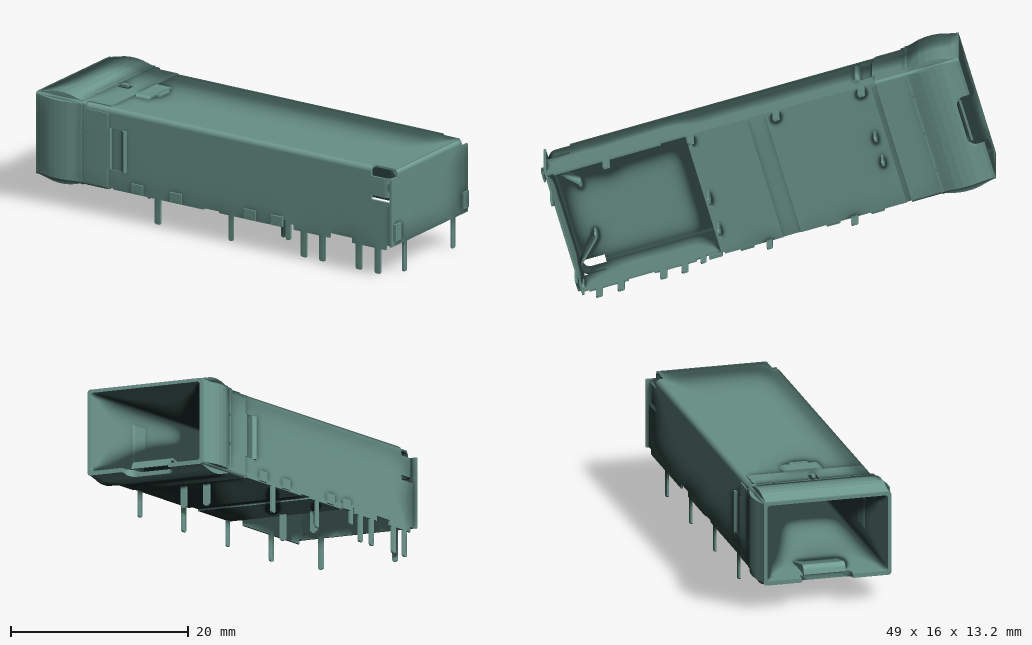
import cadquery as cq
import math

total_length = 49
total_height = 13.25
sheet = 0.25

half_width = 7.3
shell_bottom = 3.0
shell_top = 12.55
corner_radius = 0.6
inner_radius = corner_radius - sheet
floor_thickness = 0.35
floor_top = shell_bottom + floor_thickness
rear_opening_start = 32.1

rear_inner = 48.35
rear_outer = rear_inner + sheet
rear_plate_bottom = 3.6
ear_top = 11.65
ear_half_width = 7.65
top_half_width = 6.4
rear_slot_start = 45.6

sleeve_thickness = 0.15
sleeve_length = 9.8
sleeve_half_width = half_width + sleeve_thickness
sleeve_top = shell_top + sleeve_thickness
corner_gap_start = 6.75
corner_gap_depth = 0.6
spring_rise = total_height - shell_top
spring_crown_x = 3.3
spring_half_length = 3.0
spring_bends = [0.3, 1.05, 2.05, 2.85, 3.7, 4.6, 5.65, 6.25]
spring_half_width = 7.2
spring_half_height = 4.65
band_start = 6.0
band_end = 6.25
band_rise = 0.25
band_gap = 0.3
top_band_gaps = [-4.55, 0, 4.55]
side_band_gaps = [-1.65, 1.65]

mid_height = (shell_top + shell_bottom) / 2


def block(x0, x1, y0, y1, z0, z1):
    """Box between two opposite corners."""
    return cq.Workplane("XY").box(x1 - x0, y1 - y0, z1 - z0, centered=False).translate((x0, y0, z0))


def both_sides(solid):
    """The solid together with its mirror image across the middle plane Y = 0."""
    return solid.union(solid.mirror("XZ"))


def make_shell():
    outer = block(0, rear_inner, -half_width, half_width, shell_bottom, shell_top)
    outer = outer.edges("|X and >Z").fillet(corner_radius)
    inner_half = half_width - sheet
    bore = block(0, rear_inner, -inner_half, inner_half, floor_top, shell_top - sheet)
    bore = bore.edges("|X").fillet(inner_radius)
    opening = block(rear_opening_start, rear_inner, -inner_half, inner_half, shell_bottom, mid_height)
    return outer.cut(bore).cut(opening)


def make_rear_plate():
    plate = block(rear_inner, rear_outer, -half_width, half_width, rear_plate_bottom, ear_top)
    ears = block(rear_inner, rear_outer, -ear_half_width, ear_half_width, rear_plate_bottom, ear_top)
    bend = block(rear_inner - corner_radius, rear_outer, -top_half_width, top_half_width,
                 ear_top - sheet, shell_top)
    bend = bend.edges(">X and >Z").fillet(corner_radius)
    hollow = block(rear_inner - corner_radius, rear_inner, -top_half_width, top_half_width,
                   ear_top - sheet, shell_top - sheet)
    hollow = hollow.edges(">X and >Z").fillet(inner_radius)
    return plate.union(ears).union(bend.cut(hollow))


def make_sleeve():
    sleeve = block(0, sleeve_length, -sleeve_half_width, sleeve_half_width,
                   shell_bottom - sleeve_thickness, sleeve_top)
    sleeve = sleeve.edges("|X").fillet(inner_radius)
    core = block(0, sleeve_length, -half_width, half_width, shell_bottom, shell_top)
    core = core.edges("|X and >Z").fillet(corner_radius)
    corner = block(corner_gap_start, sleeve_length, half_width - corner_gap_depth, sleeve_half_width,
                   shell_top - corner_gap_depth, total_height)
    return sleeve.cut(core).cut(both_sides(corner))


def make_spring(span):
    """Faceted spring bulging along +Z from Z = 0, centred on Y = 0.

    The bends lie on one circle, except where that would sink below the sleeve surface.
    """
    radius = (spring_half_length**2 + spring_rise**2) / (2 * spring_rise)
    profile = [(spring_bends[0], -sheet)]
    for x in spring_bends:
        height = spring_rise - radius + math.sqrt(radius**2 - (x - spring_crown_x)**2)
        profile.append((x, max(height, sleeve_thickness)))
    profile.append((spring_bends[-1], -sheet))
    return cq.Workplane("XZ").polyline(profile).close().extrude(span / 2, both=True)


def make_band(span, gaps):
    """Raised band behind a spring, broken where the spring fingers are parted."""
    band = block(band_start, band_end, -span / 2, span / 2, 0, band_rise)
    for y in gaps:
        band = band.cut(block(band_start, band_end, y - band_gap / 2, y + band_gap / 2, 0, band_rise))
    return band


def make_springs():
    wide = make_spring(2 * spring_half_width).union(make_band(2 * spring_half_width, top_band_gaps))
    tall = make_spring(2 * spring_half_height).union(make_band(2 * spring_half_height, side_band_gaps))
    top = wide.translate((0, 0, shell_top))
    bottom = wide.mirror("XY").translate((0, 0, shell_bottom))
    side = tall.rotate((0, 0, 0), (1, 0, 0), -90).translate((0, half_width, mid_height))
    return top.union(bottom).union(both_sides(side))


notch_half_width = 3.0
notch_depth = 1.7
notch_radius = 0.95
tongue_half_width = 2.45
tongue_crest = 2.0
tongue_root = 6.1
tongue_top = 4.25
lip_radius = 0.75
lip_angle = 68


def cut_front_notch(body):
    notch = block(-notch_depth, notch_depth, -notch_half_width, notch_half_width, 0, floor_top)
    notch = notch.edges("|Z and >X").fillet(notch_radius)
    window = block(0, tongue_root, -tongue_half_width, tongue_half_width, shell_bottom, floor_top)
    return body.cut(notch).cut(window)


def make_tongue():
    """Ramp rising from the floor to a crest, then rolled down into a steep front lip."""
    lip_slope = math.radians(lip_angle)
    centre_z = tongue_top - lip_radius

    def lip_point(radius, angle):
        return tongue_crest - radius * math.sin(angle), centre_z + radius * math.cos(angle)

    outer_end = lip_point(lip_radius, lip_slope)
    inner_lip_radius = lip_radius - sheet
    inner_end = lip_point(inner_lip_radius, lip_slope)
    outer_run = (outer_end[1] - floor_top) / math.tan(lip_slope)
    inner_run = (inner_end[1] - floor_top) / math.tan(lip_slope)
    profile = (
        cq.Workplane("XZ")
        .moveTo(outer_end[0] - outer_run, floor_top)
        .lineTo(*outer_end)
        .threePointArc(lip_point(lip_radius, lip_slope / 2), (tongue_crest, tongue_top))
        .lineTo(tongue_root, floor_top)
        .lineTo(tongue_root, floor_top - sheet)
        .lineTo(tongue_crest, tongue_top - sheet)
        .threePointArc(lip_point(inner_lip_radius, lip_slope / 2), inner_end)
        .lineTo(inner_end[0] - inner_run, floor_top)
        .close()
    )
    return profile.extrude(tongue_half_width, both=True)


latch_bottom = 5.35
latch_top = 10.25
latch_end = 12.3
hook_reach = 7.6
latch_recess = 0.1
latch_bend = 10.15
latch_recess_start = 10.25
latch_recess_end = 11.5
hook_start = 11.95
hook_end = 12.15


def side_latch_window():
    return both_sides(block(sleeve_length, latch_end, half_width - sheet, half_width,
                            latch_bottom, latch_top))


def make_side_latches():
    recess = half_width - latch_recess
    outline = [
        (sleeve_length - sheet, sleeve_half_width),
        (latch_bend, sleeve_half_width),
        (latch_recess_start, recess),
        (latch_recess_end, recess),
        (hook_start, hook_reach),
        (hook_end, hook_reach),
        (latch_end, half_width),
        (latch_end, recess - sheet),
        (sleeve_length, recess - sheet),
        (sleeve_length - sheet, half_width - sheet),
    ]
    latch = cq.Workplane("XY").workplane(offset=latch_bottom).polyline(outline).close()
    return both_sides(latch.extrude(latch_top - latch_bottom))


bridge_start = 10.05
bridge_end = 11.95
bridge_half_width = 2.4
bridge_slope = 0.45
bridge_height = 0.3
bridge_tip_start = 12.15
bridge_tip_end = 12.6
bridge_tip_half_width = 1.15


def make_top_latch():
    bridge_top = shell_top + bridge_height
    flat_half = bridge_half_width - bridge_slope
    outline = [(-bridge_half_width, shell_top), (-flat_half, bridge_top),
               (flat_half, bridge_top), (bridge_half_width, shell_top)]
    bridge = cq.Workplane("YZ").workplane(offset=bridge_start).polyline(outline).close()
    bridge = bridge.extrude(bridge_end - bridge_start)
    root = block(sleeve_length - sheet, bridge_start, -flat_half, flat_half, shell_top, sleeve_top)
    tip = block(bridge_tip_start, bridge_tip_end, -bridge_tip_half_width, bridge_tip_half_width,
                shell_top, bridge_top)
    tip = tip.edges("|Z and >X").chamfer(bridge_height)
    return bridge.union(root).union(tip)


loop_window = (6.55, 8.15, -0.9, 0.15)
loop_tongue = (6.9, 7.75, -0.55, -0.1)
loop_top = 13.0


def add_loop(body):
    return (body.cut(block(*loop_window, shell_top, sleeve_top))
            .union(block(*loop_tongue, shell_top - sheet, loop_top)))


pad_starts = [13.05, 18.25, 28.35, 32.05]
pad_length = 1.55
pad_bottom = 3.1
pad_top = 4.25


def make_pads():
    pads = cq.Workplane("XY")
    for x in pad_starts:
        pads = pads.union(block(x, x + pad_length, -half_width - sheet, -half_width + sheet / 2,
                                pad_bottom, pad_top))
    return pads


through_notches = [
    (9.8, 10.4, 3.2),
    (22.8, 24.9, 3.2),
    (rear_opening_start, 35.05, rear_plate_bottom),
    (47.6, rear_inner, rear_plate_bottom),
]
near_wall_notches = [
    (31.75, 33.9, 3.9),
    (40.0, 43.0, rear_plate_bottom),
]


def cut_lower_edge(body):
    """Notches right across the cage, and notches in the -Y wall alone."""
    notch_bottom = shell_bottom - sheet
    edge = sleeve_half_width
    for start, end, top in through_notches:
        body = body.cut(block(start, end, -edge, edge, notch_bottom, top))
    for start, end, top in near_wall_notches:
        body = body.cut(block(start, end, -edge, sheet - half_width, notch_bottom, top))
    return body


spring_bottom = 9.2
spring_top = 11.45
slot_bottom = 8.65
bend_start = 47.3
bend_inner_radius = 0.8
bend_angle = 135
flap_reach = 2.35
tip_length = 0.65
tip_corner = 0.3


def cut_rear_slots(body):
    edge = sleeve_half_width
    wall_inner = half_width - sheet
    corner = block(rear_slot_start, rear_inner, top_half_width, edge, spring_top, total_height)
    lower = block(rear_slot_start, rear_inner, wall_inner, edge, slot_bottom, spring_bottom)
    bend = block(bend_start, rear_inner, wall_inner, edge, slot_bottom, spring_top)
    return body.cut(both_sides(corner.union(lower).union(bend)))


def make_rear_springs():
    """Strips of side wall bent inward and back to the front, their tips square to the wall."""
    outer_radius = bend_inner_radius + sheet
    centre_y = half_width - outer_radius

    def arc_point(radius, degrees):
        angle = math.radians(degrees)
        return bend_start + radius * math.sin(angle), centre_y + radius * math.cos(angle)

    middle = bend_angle / 2
    inner_end = arc_point(bend_inner_radius, bend_angle)
    tip_x = inner_end[0] + flap_reach / math.tan(math.radians(bend_angle))
    flap_end_y = inner_end[1] - flap_reach
    mitre = sheet * math.tan(math.radians((bend_angle - 90) / 2))
    tip_y = flap_end_y - tip_length
    profile = (
        cq.Workplane("XY").workplane(offset=spring_bottom)
        .moveTo(bend_start, half_width)
        .threePointArc(arc_point(outer_radius, middle), arc_point(outer_radius, bend_angle))
        .lineTo(tip_x + sheet, flap_end_y - mitre)
        .lineTo(tip_x + sheet, tip_y)
        .lineTo(tip_x, tip_y)
        .lineTo(tip_x, flap_end_y)
        .lineTo(*inner_end)
        .threePointArc(arc_point(bend_inner_radius, middle), (bend_start, half_width - sheet))
        .close()
    )
    spring = profile.extrude(spring_top - spring_bottom)
    return both_sides(spring.edges("|X and <Y").chamfer(tip_corner))


lug_inner = 6.65
lug_bottom = 4.0
lug_top = 6.5
lock_inner = 6.15
lock_bottom = 4.25
lock_top = 6.25


def make_locking_tabs():
    """Side-wall lugs at the rear plate, each ending in a tab hooked inward behind the plate."""
    lug = block(rear_inner - sheet, rear_outer, lug_inner, half_width, lug_bottom, lug_top)
    lug = lug.edges("|X and <Y").chamfer(sheet)
    stem = block(rear_inner, total_length, half_width - sheet, half_width, lock_bottom, lock_top)
    hook = block(total_length - sheet, total_length, lock_inner, half_width, lock_bottom, lock_top)
    return both_sides(lug.union(stem).union(hook))


pin_width = 0.8
narrow_pin_width = 0.65
tip_chamfer = 0.15
pin_root = 3.4
near_pins = [16.45, 36.4, 38.9, 43.9, 46.45]
far_pins = [11.45, 21.45, 41.4]
narrow_near_pin = 26.45
narrow_far_pin = 31.45
short_pin = 34.25
short_pin_tip = 1.6
short_pin_root = 4.0
front_row = 11.45
rear_row = 31.45
floor_pin_tip = 0.5
front_row_spacing = 1.45
offset_pin_y = -3.95
rear_pin_spacing = 4.8


def wall_pin(x, side, width, tip=0, root=pin_root):
    """Pin hanging from a side wall; side is -1 or +1."""
    y = side * (half_width - sheet / 2)
    pin = block(x - width / 2, x + width / 2, y - sheet / 2, y + sheet / 2, tip, root)
    return pin.edges("|Y and <Z").chamfer(tip_chamfer)


def cross_pin(x, y, width, tip=0, root=floor_top, point=tip_chamfer):
    """Pin standing across the cage, its thin side along X."""
    pin = block(x - sheet / 2, x + sheet / 2, y - width / 2, y + width / 2, tip, root)
    return pin.edges("|X and <Z").chamfer(point)


def make_pins():
    pins = wall_pin(narrow_near_pin, -1, narrow_pin_width)
    pins = pins.union(wall_pin(narrow_far_pin, 1, narrow_pin_width))
    for x in near_pins:
        pins = pins.union(wall_pin(x, -1, pin_width))
    for x in far_pins:
        pins = pins.union(wall_pin(x, 1, pin_width))
    pins = pins.union(wall_pin(short_pin, -1, narrow_pin_width, short_pin_tip, short_pin_root))
    for y in (-front_row_spacing, front_row_spacing):
        pins = pins.union(cross_pin(front_row, y, pin_width, floor_pin_tip, point=sheet))
    pins = pins.union(cross_pin(rear_row, offset_pin_y, pin_width, floor_pin_tip, point=sheet))
    pins = pins.union(cross_pin(rear_row, 0, pin_width))
    rear_x = rear_inner + sheet / 2
    for y in (-rear_pin_spacing, rear_pin_spacing):
        pins = pins.union(cross_pin(rear_x, y, narrow_pin_width, root=lock_bottom))
    return pins


cage = make_shell().cut(side_latch_window())
cage = cage.union(make_sleeve()).union(make_springs())
cage = cut_front_notch(cage).union(make_tongue())
cage = cage.union(make_side_latches()).union(make_top_latch())
cage = add_loop(cage)
cage = cut_lower_edge(cage).union(make_pads())
cage = cut_rear_slots(cage).union(make_rear_plate()).union(make_rear_springs())
result = cage.union(make_locking_tabs()).union(make_pins())